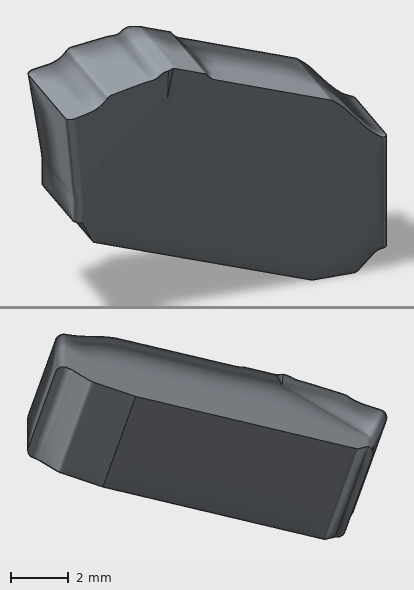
import cadquery as cq
import math

length = 12.0
height = 9.15
body_width = 3.43
blank_width = 4.8
corner_radius = 0.28

tip_z = 7.99
front_land_y = 0.41
front_land_bottom_z = 3.79
front_land_top_z = 4.74

rear_bottom_z = 0.75
rear_top_z = 5.03

flare_low = (0.66, 5.21)
flare_high = (3.83, 8.09)
flare_slope = 0.124
head_back_top = (4.02, height)
head_back_bottom = (3.82, 8.09)
head_back_slope = 0.47
wedge_reach = 7.2


def side_profile(width):
    """Closed YZ outline extruded symmetrically along X."""
    outline = (
        cq.Workplane("YZ")
        .moveTo(0, tip_z)
        .lineTo(0.9, 8.17)
        .threePointArc((1.21, 8.32), (1.49, 8.58))
        .threePointArc((1.58, 8.65), (1.7, 8.69))
        .lineTo(2.94, 8.89)
        .lineTo(3.15, 8.9)
        .threePointArc((3.31, 8.93), (3.45, 9.0))
        .threePointArc((3.6, 9.11), (3.79, height))
        .lineTo(4.02, height)
        .threePointArc((4.09, 9.15), (4.16, 9.12))
        .lineTo(5.17, 8.75)
        .threePointArc((5.23, 8.72), (5.28, 8.68))
        .spline([(5.5, 8.47), (5.76, 8.36), (6.34, 8.16), (6.91, 7.95)], includeCurrent=True)
        .lineTo(9.88, 6.85)
        .threePointArc((9.94, 6.82), (9.98, 6.78))
        .spline([(10.8, 5.96), (11.52, 5.23), (11.72, 5.1), (length, rear_top_z)], includeCurrent=True)
        .lineTo(length, rear_bottom_z)
        .lineTo(11.72, rear_bottom_z)
        .threePointArc((11.59, 0.72), (11.46, 0.64))
        .lineTo(10.88, 0.08)
        .threePointArc((10.8, 0.02), (10.68, 0))
        .lineTo(9.17, 0)
        .lineTo(1.16, 2.93)
        .threePointArc((1.07, 2.98), (1.01, 3.06))
        .lineTo(0.68, 3.73)
        .threePointArc((0.65, 3.78), (0.59, front_land_bottom_z))
        .lineTo(front_land_y, front_land_bottom_z)
        .lineTo(front_land_y, front_land_top_z)
        .close()
    )
    return outline.extrude(width).translate((-width / 2, 0, 0))


def widening_wedge(start, end, slope):
    """Prism along the YZ line start-end, widening to the left of that line."""
    run = end[0] - start[0]
    rise = end[1] - start[1]
    line_length = math.hypot(run, rise)
    plane = cq.Plane(
        origin=(0, start[0], start[1]),
        xDir=(0, -rise / line_length, run / line_length),
        normal=(0, run, rise),
    )
    narrow = body_width / 2
    wide = narrow + slope * wedge_reach
    section = [(0, -narrow), (wedge_reach, -wide), (wedge_reach, wide), (0, narrow)]
    return cq.Workplane(plane).polyline(section).close().extrude(wedge_reach, both=True)


flare = widening_wedge(flare_low, flare_high, flare_slope)
head_back = widening_wedge(head_back_bottom, head_back_top, head_back_slope)
head = side_profile(blank_width).intersect(flare).intersect(head_back)
insert = side_profile(body_width).union(head)

rear_corners = insert.faces(">Y").edges("|Z")
insert = rear_corners.fillet(corner_radius)

front_zone = cq.selectors.BoxSelector(
    (-blank_width, -0.12, front_land_bottom_z + 0.12),
    (blank_width, front_land_y + 0.01, tip_z - 0.12),
)
result = insert.edges(front_zone).edges("not |X").fillet(corner_radius)